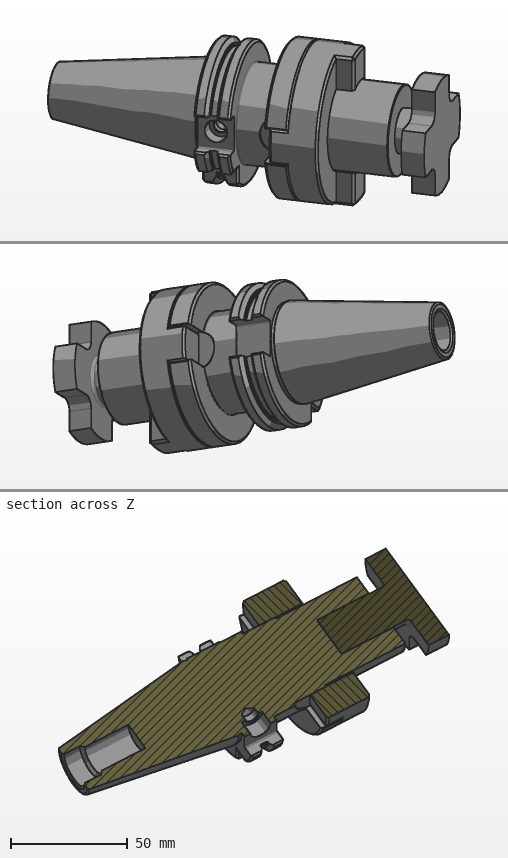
import cadquery as cq
import math

TOTAL_LENGTH = 173.2
TAPER_END_X = 69.5
GRIP_X = 71.2
GRIP_WIDTH = 16.3
GRIP_END_X = GRIP_X + GRIP_WIDTH
GROOVE_X = GRIP_X + GRIP_WIDTH / 2
COLLAR_X = 104.0
COLLAR_END_X = 114.7
RING_END_X = 128.2
LUG_END_X = 136.3
SPIGOT_END_X = 155.0
HEAD_X = 162.9

TAPER_DIAMETER = 45.0
NECK_DIAMETER = 44.5
GRIP_DIAMETER = 63.5
BODY_DIAMETER = 70.0
SPIGOT_DIAMETER = 40.0
RING_BORE_DIAMETER = 41.2
SCREW_DIAMETER = 20.0
HEAD_DIAMETER = 52.0

TAPER_RATIO = 7 / 24
EDGE_CHAMFER = 1.0
NECK_FILLET = 0.3
TAPER_END_CHAMFER = 0.3
SPIGOT_CHAMFER = 0.3
TAIL_CHAMFER_LENGTH = 0.5
TAIL_CHAMFER_DEPTH = 0.9

GROOVE_FLOOR_DIAMETER = 56.1
GROOVE_FLOOR_WIDTH = 3.6
GROOVE_TOP_WIDTH = 6.8
GROOVE_FLARE_ANGLE = 34.0
GROOVE_ROOT_CHAMFER = 0.5

GRIP_SLOT_WIDTH = 16.1
GRIP_SLOT_FLOOR_FRONT = 24.5
GRIP_SLOT_FLOOR_BACK = 22.7
GRIP_SLOT_FILLET = 0.5
NOTCH_Y = 18.2
NOTCH_Z = 18.7

COOLANT_DIAMETER = 6.0
COOLANT_CHAMFER = 0.3
COOLANT_BORE_DIAMETER = 10.0
COOLANT_BORE_DEPTH = 7.0
COOLANT_DEPTH = 10.4
DRILL_TIP_ANGLE = 118.0

DRAW_MOUTH_DIAMETER = 19.0
DRAW_MOUTH_LENGTH = 0.7
DRAW_BORE_DIAMETER = 17.0
DRAW_BORE_DEPTH = 8.7
DRAW_CORE_DIAMETER = 13.9
DRAW_DEPTH = 32.0

COLLAR_SLOT_WIDTH = 16.1
COLLAR_SLOT_CHAMFER = 0.5
COLLAR_SLOT_FLOOR = 21.0
COLLAR_SLOT_END_X = 98.2
TENON_X = COLLAR_SLOT_END_X + COLLAR_SLOT_WIDTH / 2
TENON_WIDTH = 14.2
LUG_WIDTH = 16.1

SCREW_DEPTH = 26.0
SCREW_FILLET = 1.4
ARM_WIDTH = 20.5
ARM_CORNER_RADIUS = 4.7

SELECTION_MARGIN = 0.2
SMALLEST_CIRCLE = cq.selectors.RadiusNthSelector(0)


def revolve_about_x(points):
    """Solid of revolution of an (x, radius) outline around the tool axis."""
    return cq.Workplane("XY").polyline(points).close().revolve(360, (0, 0, 0), (1, 0, 0))


def cylinder_along_x(start, end, diameter):
    return cq.Workplane("YZ", origin=(start, 0, 0)).circle(diameter / 2).extrude(end - start)


def box_between(x, y, z):
    """Box spanning the given (low, high) pairs."""
    size = [high - low for low, high in (x, y, z)]
    return cq.Workplane("XY").box(*size, centered=False).translate((x[0], y[0], z[0]))


def centered_span(width):
    return (-width / 2, width / 2)


def outward_span(side, distance):
    """Span from a distance on one side of the axis to beyond the largest body."""
    return tuple(sorted((side * distance, side * BODY_DIAMETER)))


def circles_at(x):
    """Selector of the full circles around the tool axis at one place."""
    margin = SELECTION_MARGIN
    return cq.selectors.BoxSelector((x - margin, -margin, -margin), (x + margin, margin, margin))


def slot_rims(slot_width, diameter):
    """Selector of the edges along X where the +Y and -Y slots meet a cylinder around the axis."""
    rim_z = slot_width / 2
    rim_y = math.sqrt((diameter / 2) ** 2 - rim_z**2)
    low = (0, -rim_y - SELECTION_MARGIN, -rim_z - SELECTION_MARGIN)
    high = (TOTAL_LENGTH, -rim_y + SELECTION_MARGIN, rim_z + SELECTION_MARGIN)
    front = cq.selectors.BoxSelector(low, high)
    back = cq.selectors.BoxSelector((low[0], -low[1], low[2]), (high[0], -high[1], high[2]))
    return (front + back) & cq.selectors.ParallelDirSelector(cq.Vector(1, 0, 0))


def make_taper():
    end_radius = TAPER_DIAMETER / 2
    tail_radius = end_radius - TAPER_END_X * TAPER_RATIO / 2
    return revolve_about_x([
        (0, 0),
        (0, tail_radius - TAIL_CHAMFER_DEPTH),
        (TAIL_CHAMFER_LENGTH, tail_radius + TAIL_CHAMFER_LENGTH * TAPER_RATIO / 2),
        (TAPER_END_X, end_radius),
        (TAPER_END_X + TAPER_END_CHAMFER, end_radius - TAPER_END_CHAMFER),
        (TAPER_END_X + TAPER_END_CHAMFER, 0),
    ])


def make_grip_groove():
    floor_radius = GROOVE_FLOOR_DIAMETER / 2
    grip_radius = GRIP_DIAMETER / 2
    half_floor = GROOVE_FLOOR_WIDTH / 2
    half_top = GROOVE_TOP_WIDTH / 2
    flare_height = (half_top - half_floor) / math.tan(math.radians(GROOVE_FLARE_ANGLE))
    half_outline = [
        (half_floor - GROOVE_ROOT_CHAMFER, floor_radius),
        (half_floor, floor_radius + GROOVE_ROOT_CHAMFER),
        (half_floor, grip_radius - flare_height),
        (half_top, grip_radius),
        (half_top, BODY_DIAMETER / 2),
    ]
    left = [(GROOVE_X - offset, radius) for offset, radius in half_outline]
    right = [(GROOVE_X + offset, radius) for offset, radius in reversed(half_outline)]
    return revolve_about_x(left + right)


def make_grip_slot(side, floor):
    slot = box_between((GRIP_X, GRIP_END_X), outward_span(side, floor), centered_span(GRIP_SLOT_WIDTH))
    floor_face = ">Y" if side < 0 else "<Y"
    return slot.faces(floor_face).edges("|X").fillet(GRIP_SLOT_FILLET)


def make_grip_flange():
    """Grooved flange with two drive slots and a corner notch."""
    flange = cylinder_along_x(GRIP_X, GRIP_END_X, GRIP_DIAMETER)
    flange = flange.cut(
        box_between((GRIP_X, GRIP_END_X), outward_span(-1, NOTCH_Y), outward_span(-1, NOTCH_Z))
    )
    flange = flange.faces("<X or >X").edges().chamfer(EDGE_CHAMFER)
    flange = flange.cut(make_grip_slot(-1, GRIP_SLOT_FLOOR_FRONT))
    flange = flange.cut(make_grip_slot(1, GRIP_SLOT_FLOOR_BACK))
    flange = flange.edges(slot_rims(GRIP_SLOT_WIDTH, GRIP_DIAMETER)).chamfer(EDGE_CHAMFER)
    return flange.cut(make_grip_groove())


def make_coolant_hole():
    radius = COOLANT_DIAMETER / 2
    bore_radius = COOLANT_BORE_DIAMETER / 2
    floor_y = -GRIP_SLOT_FLOOR_FRONT
    bore_end = floor_y + COOLANT_BORE_DEPTH
    drill_end = floor_y + COOLANT_DEPTH
    tip_length = radius / math.tan(math.radians(DRILL_TIP_ANGLE / 2))
    outline = [
        (0, floor_y),
        (bore_radius, floor_y),
        (bore_radius, bore_end),
        (radius + COOLANT_CHAMFER, bore_end),
        (radius, bore_end + COOLANT_CHAMFER),
        (radius, drill_end),
        (0, drill_end + tip_length),
    ]
    hole = cq.Workplane("XY").polyline(outline).close().revolve(360, (0, 0, 0), (0, 1, 0))
    return hole.translate((GROOVE_X, 0, 0))


def make_draw_bolt_hole():
    bore_radius = DRAW_BORE_DIAMETER / 2
    core_radius = DRAW_CORE_DIAMETER / 2
    return revolve_about_x([
        (0, 0),
        (0, DRAW_MOUTH_DIAMETER / 2),
        (DRAW_MOUTH_LENGTH, bore_radius),
        (DRAW_BORE_DEPTH, bore_radius),
        (DRAW_BORE_DEPTH + bore_radius - core_radius, core_radius),
        (DRAW_DEPTH, core_radius),
        (DRAW_DEPTH, 0),
    ])


def make_collar_slot(side):
    """Round-ended slot on the +Y or -Y side, open to the ring and run out into the neck."""
    half_width = COLLAR_SLOT_WIDTH / 2
    outline = (
        cq.Workplane("XZ", origin=(0, side * COLLAR_SLOT_FLOOR, 0))
        .moveTo(COLLAR_END_X, -half_width)
        .lineTo(TENON_X, -half_width)
        .threePointArc((COLLAR_SLOT_END_X, 0), (TENON_X, half_width))
        .lineTo(COLLAR_END_X, half_width)
        .close()
    )
    return outline.extrude(-side * BODY_DIAMETER)


def make_collar():
    """Collar with its neck, slotted for the tenons of the driving ring."""
    collar = cylinder_along_x(COLLAR_X, COLLAR_END_X, BODY_DIAMETER).edges().chamfer(EDGE_CHAMFER)
    collar = collar.union(cylinder_along_x(GRIP_END_X, COLLAR_X, NECK_DIAMETER))
    collar = collar.edges(circles_at(COLLAR_X)).edges(SMALLEST_CIRCLE).fillet(NECK_FILLET)
    for side in (-1, 1):
        collar = collar.cut(make_collar_slot(side))
    return collar.edges(slot_rims(COLLAR_SLOT_WIDTH, BODY_DIAMETER)).chamfer(COLLAR_SLOT_CHAMFER)


def make_spigot():
    spigot = cylinder_along_x(COLLAR_END_X, SPIGOT_END_X, SPIGOT_DIAMETER)
    return spigot.faces(">X").edges().chamfer(SPIGOT_CHAMFER)


def make_screw_shank():
    return cylinder_along_x(SPIGOT_END_X - SCREW_DEPTH, HEAD_X, SCREW_DIAMETER)


def make_arbor():
    undercut = cylinder_along_x(TAPER_END_X, GRIP_X, TAPER_DIAMETER - 2 * TAPER_END_CHAMFER)
    arbor = make_grip_flange().union(make_collar())
    arbor = arbor.edges(circles_at(GRIP_END_X)).edges(SMALLEST_CIRCLE).fillet(NECK_FILLET)
    arbor = arbor.union(undercut).union(make_taper()).union(make_spigot())
    return arbor.cut(make_coolant_hole()).cut(make_draw_bolt_hole()).cut(make_screw_shank())


def make_ring_body():
    return cylinder_along_x(COLLAR_END_X, RING_END_X, BODY_DIAMETER).faces(">X").edges().chamfer(EDGE_CHAMFER)


def make_lug_bar():
    """Bar across the ring whose ends, past the bore, are the +Z and -Z lugs."""
    bar = cylinder_along_x(COLLAR_END_X, LUG_END_X, BODY_DIAMETER)
    bar = bar.intersect(
        box_between((COLLAR_END_X, LUG_END_X), centered_span(LUG_WIDTH), centered_span(BODY_DIAMETER))
    )
    return bar.faces("%CYLINDER or >X").edges("not <X").chamfer(EDGE_CHAMFER)


def make_tenon(side):
    """Flat-sided tenon on the +Y or -Y side, reaching back into the collar slot."""
    tenon = cylinder_along_x(TENON_X, COLLAR_END_X, BODY_DIAMETER).faces("<X").edges().chamfer(EDGE_CHAMFER)
    return tenon.intersect(
        box_between(
            (TENON_X, COLLAR_END_X), outward_span(side, COLLAR_SLOT_FLOOR), centered_span(TENON_WIDTH)
        )
    )


def make_driving_ring():
    ring = make_ring_body().union(make_lug_bar())
    ring = ring.cut(cylinder_along_x(COLLAR_END_X, LUG_END_X, RING_BORE_DIAMETER))
    for side in (-1, 1):
        ring = ring.union(make_tenon(side))
    return ring


def make_screw_head():
    """Cross of four arms with round ends and rounded inner corners."""
    along = (HEAD_X, TOTAL_LENGTH)
    narrow = centered_span(ARM_WIDTH)
    wide = centered_span(HEAD_DIAMETER)
    cross = box_between(along, narrow, wide).union(box_between(along, wide, narrow))
    reach = ARM_WIDTH / 2 + ARM_CORNER_RADIUS / 2
    inner_corners = cq.selectors.BoxSelector((HEAD_X, -reach, -reach), (TOTAL_LENGTH, reach, reach))
    cross = cross.edges("|X").edges(inner_corners).fillet(ARM_CORNER_RADIUS)
    return cross.intersect(cylinder_along_x(HEAD_X, TOTAL_LENGTH, HEAD_DIAMETER))


def make_clamping_screw():
    screw = make_screw_head().union(make_screw_shank())
    return screw.edges(circles_at(HEAD_X)).fillet(SCREW_FILLET)


arbor = make_arbor()
driving_ring = make_driving_ring()
clamping_screw = make_clamping_screw()

result = cq.Compound.makeCompound([arbor.val(), driving_ring.val(), clamping_screw.val()])